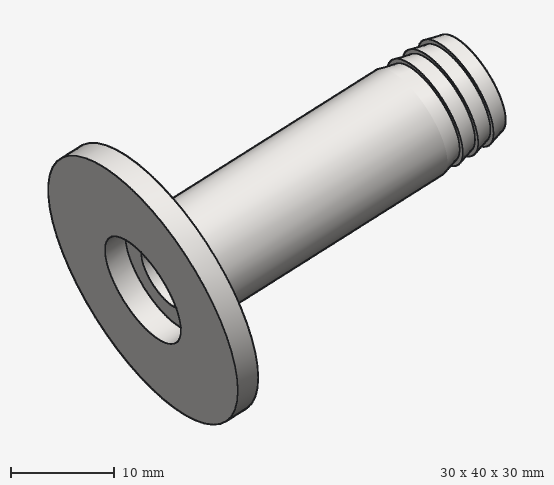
import cadquery as cq
import math

flange_radius = 15.0
rim_thickness = 2.5
cone_angle = 15.0

total_length = 40.0
tube_radius = 6.0
barb_count = 4
barb_length = 1.875
barb_root_radius = 5.5

bore_radius = 3.5
counterbore_radius = 6.0
counterbore_depth = 2.5

cone_height = (flange_radius - tube_radius) * math.tan(math.radians(cone_angle))
barb_start = total_length - barb_count * barb_length


def make_body():
    """Revolve the outer half-profile of flange, tube and barbs about the Y axis."""
    profile = (
        cq.Workplane("XY")
        .lineTo(flange_radius, 0)
        .lineTo(flange_radius, rim_thickness)
        .lineTo(tube_radius, rim_thickness + cone_height)
        .lineTo(tube_radius, barb_start)
    )
    for index in range(barb_count):
        barb_end = barb_start + (index + 1) * barb_length
        profile = profile.lineTo(barb_root_radius, barb_end)
        is_last_barb = index == barb_count - 1
        if not is_last_barb:
            profile = profile.lineTo(tube_radius, barb_end)
    return profile.lineTo(0, total_length).close().revolve(360, (0, 0, 0), (0, 1, 0))


def make_cylinder(radius, length):
    """Cylinder on the Y axis that starts at the flange face and runs toward +Y."""
    return cq.Workplane("XZ").circle(radius).extrude(-length)


bore = make_cylinder(bore_radius, total_length)
counterbore = make_cylinder(counterbore_radius, counterbore_depth)

result = make_body().cut(bore).cut(counterbore)